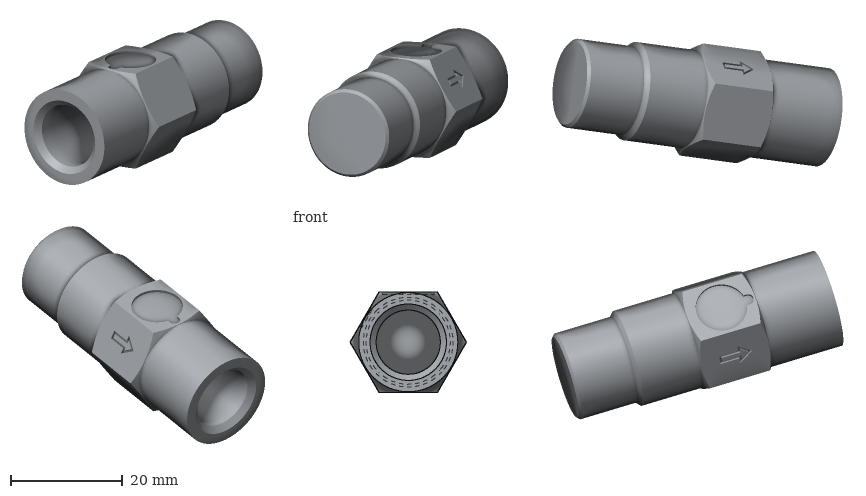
import cadquery as cq
import math

LENGTH = 49.5
BODY_RADIUS = 8.85
SPIGOT_RADIUS = 8.0
SPIGOT_LENGTH = 10.95
SPIGOT_CHAMFER = 0.5

BORE_RADIUS = 5.75
BORE_MOUTH_RADIUS = 6.85
BORE_LEAD_IN = 1.05
BORE_DEPTH = LENGTH / 2

HEX_ACROSS_FLATS = 18.0
HEX_START = 13.5
HEX_LENGTH = 13.0
HEX_CHAMFER_ANGLE = 30.0
HEX_FLAT_DISTANCE = HEX_ACROSS_FLATS / 2
HEX_CORNER_RADIUS = HEX_FLAT_DISTANCE / math.cos(math.radians(30))
HEX_END = HEX_START + HEX_LENGTH
HEX_MIDDLE = HEX_START + HEX_LENGTH / 2

RECESS_RADIUS = 4.6
RECESS_DEPTH = 0.5
NOTCH_RADIUS = 1.05
NOTCH_OFFSET = 5.0

ARROW_TAIL = 22.9
ARROW_SHOULDER = 19.35
ARROW_TIP = 16.9
ARROW_SHANK_HALF_WIDTH = 0.8
ARROW_HEAD_HALF_WIDTH = 1.85
GROOVE_WIDTH = 0.4
GROOVE_DEPTH = 0.5


def revolve_about_y(points):
    """Revolve a closed (radius, y) profile about the Y axis."""
    return cq.Workplane("XY").polyline(points).close().revolve(360, (0, 0), (0, 1))


def turned_body():
    shoulder_end = LENGTH - SPIGOT_LENGTH
    shoulder_start = shoulder_end - (BODY_RADIUS - SPIGOT_RADIUS)
    return revolve_about_y([
        (0, 0),
        (BODY_RADIUS, 0),
        (BODY_RADIUS, shoulder_start),
        (SPIGOT_RADIUS, shoulder_end),
        (SPIGOT_RADIUS, LENGTH - SPIGOT_CHAMFER),
        (SPIGOT_RADIUS - SPIGOT_CHAMFER, LENGTH),
        (0, LENGTH),
    ])


def hexagon_collar():
    """Hexagonal prism whose corners are turned down to cones at both ends."""
    prism = (
        cq.Workplane("XZ", origin=(0, HEX_START, 0))
        .polygon(6, 2 * HEX_CORNER_RADIUS)
        .extrude(-HEX_LENGTH)
    )
    chamfer_length = (HEX_CORNER_RADIUS - BODY_RADIUS) * math.tan(math.radians(HEX_CHAMFER_ANGLE))
    envelope = revolve_about_y([
        (0, HEX_START),
        (BODY_RADIUS, HEX_START),
        (HEX_CORNER_RADIUS, HEX_START + chamfer_length),
        (HEX_CORNER_RADIUS, HEX_END - chamfer_length),
        (BODY_RADIUS, HEX_END),
        (0, HEX_END),
    ])
    return prism.intersect(envelope)


def bore():
    return revolve_about_y([
        (0, 0),
        (BORE_MOUTH_RADIUS, 0),
        (BORE_RADIUS, BORE_LEAD_IN),
        (BORE_RADIUS, BORE_DEPTH),
        (0, BORE_DEPTH),
    ])


def keyed_recess():
    flat = cq.Workplane("XY", origin=(0, HEX_MIDDLE, HEX_FLAT_DISTANCE))
    disc = flat.circle(RECESS_RADIUS).extrude(-RECESS_DEPTH)
    notch = (
        flat.center(0, -NOTCH_OFFSET / 2)
        .rect(2 * NOTCH_RADIUS, NOTCH_OFFSET)
        .extrude(-RECESS_DEPTH)
    )
    notch_end = flat.center(0, -NOTCH_OFFSET).circle(NOTCH_RADIUS).extrude(-RECESS_DEPTH)
    return disc.union(notch).union(notch_end)


def arrow_groove():
    """Groove following the inside of an arrow outline that points toward -Y."""
    tilt = math.radians(30)
    normal = cq.Vector(-math.cos(tilt), 0, math.sin(tilt))
    flat_centre = normal * HEX_FLAT_DISTANCE + cq.Vector(0, HEX_MIDDLE, 0)
    flat = cq.Plane(origin=flat_centre, xDir=(0, -1, 0), normal=normal)

    tail = HEX_MIDDLE - ARROW_TAIL
    shoulder = HEX_MIDDLE - ARROW_SHOULDER
    tip = HEX_MIDDLE - ARROW_TIP
    corners = [
        (tail, -ARROW_SHANK_HALF_WIDTH),
        (shoulder, -ARROW_SHANK_HALF_WIDTH),
        (shoulder, -ARROW_HEAD_HALF_WIDTH),
        (tip, 0),
        (shoulder, ARROW_HEAD_HALF_WIDTH),
        (shoulder, ARROW_SHANK_HALF_WIDTH),
        (tail, ARROW_SHANK_HALF_WIDTH),
    ]
    arrow = cq.Workplane(flat).polyline(corners).close().extrude(-GROOVE_DEPTH)
    island_outline = cq.Workplane(flat).polyline(corners).close()
    island = island_outline.offset2D(-GROOVE_WIDTH, "intersection").extrude(-GROOVE_DEPTH)
    return arrow.cut(island)


result = (
    turned_body()
    .union(hexagon_collar())
    .cut(bore())
    .cut(keyed_recess())
    .cut(arrow_groove())
)